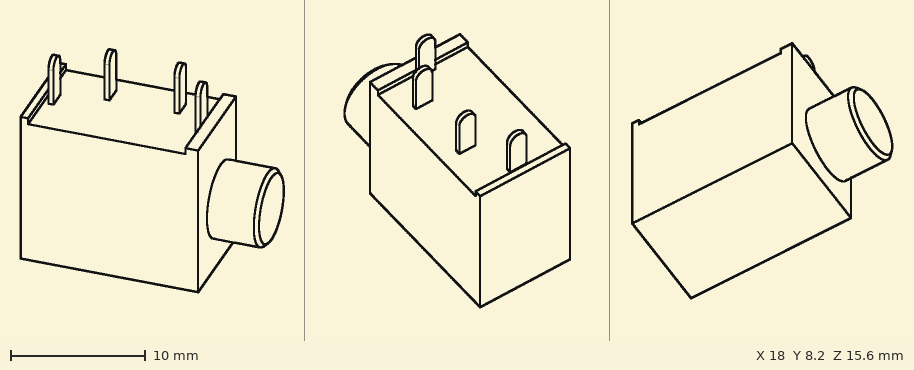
import cadquery as cq

body_length = 14.0
body_width = 8.2
body_height = 12.3
rim_depth = 0.5
rear_rim = 0.6
front_rim = 1.0
floor_height = body_height - rim_depth

overall_length = 18
barrel_diameter = 6.0
barrel_length = overall_length - body_length
barrel_chamfer = 0.3
barrel_y = 4.9
barrel_z = 5.3

pin_thickness = 0.4
pin_width = 1.5
pin_top = 15.6
short_pin_top = 15.5
near_row_y = 4.0
far_row_y = 6.0
pins = [
    (1.0, near_row_y, short_pin_top),
    (4.7, far_row_y, pin_top),
    (10.2, far_row_y, pin_top),
    (body_length - front_rim - pin_thickness, near_row_y, pin_top),
]


def make_housing():
    """Block whose top is recessed between two end rims, open along both sides."""
    block = cq.Workplane("XY").box(body_length, body_width, body_height, centered=False)
    recess = cq.Workplane("XY").box(
        body_length - rear_rim - front_rim, body_width, rim_depth, centered=False
    )
    return block.cut(recess.translate((rear_rim, 0, floor_height)))


def make_barrel():
    """Cylinder with a chamfered outer end."""
    return (
        cq.Workplane("YZ", origin=(body_length, barrel_y, barrel_z))
        .circle(barrel_diameter / 2)
        .extrude(barrel_length)
        .faces(">X")
        .chamfer(barrel_chamfer)
    )


def make_pin(rear_x, center_y, tip_z):
    """Upright blade ending in a half circle, standing on the recess floor."""
    radius = pin_width / 2
    shoulder = tip_z - radius
    return (
        cq.Workplane("YZ", origin=(rear_x, center_y, 0))
        .moveTo(-radius, floor_height)
        .lineTo(-radius, shoulder)
        .threePointArc((0, tip_z), (radius, shoulder))
        .lineTo(radius, floor_height)
        .close()
        .extrude(pin_thickness)
    )


result = make_housing().union(make_barrel())
for rear_x, center_y, tip_z in pins:
    result = result.union(make_pin(rear_x, center_y, tip_z))